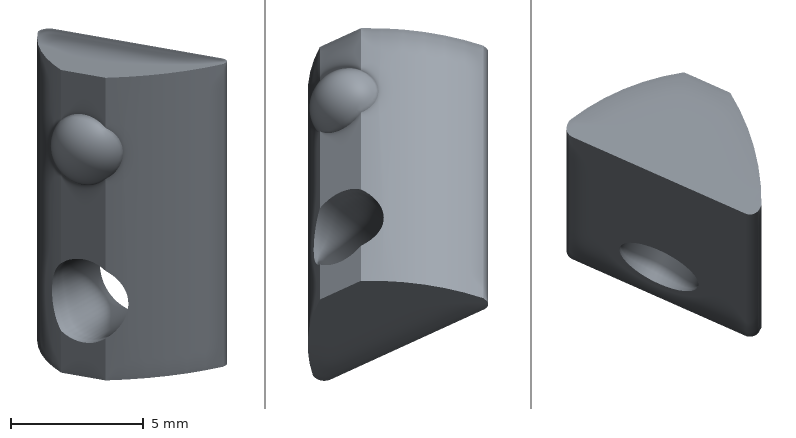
import cadquery as cq

LENGTH = 12.0
WIDTH = 8.02
NUT_DEPTH = 4.2
FRONT_FLAT_WIDTH = 1.93
CORNER_RADIUS = 0.4
SIDE_LAND = 0.17
FLANK_RADIUS = 9.0

END_OFFSET = 3.0
HOLE_DIAMETER = 3.3
BALL_DIAMETER = 3.0
BALL_PROTRUSION = 0.95

BACK_Y = NUT_DEPTH / 2
FRONT_Y = -NUT_DEPTH / 2
HALF_LENGTH = LENGTH / 2


def make_body():
    """Body with a flat back, rounded back corners and bulging flanks."""
    half_width = WIDTH / 2
    half_flat = FRONT_FLAT_WIDTH / 2
    round_end_y = BACK_Y - CORNER_RADIUS
    flank_start_y = round_end_y - SIDE_LAND
    profile = (
        cq.Workplane("XY")
        .workplane(offset=-HALF_LENGTH)
        .moveTo(-half_flat, FRONT_Y)
        .lineTo(half_flat, FRONT_Y)
        .radiusArc((half_width, flank_start_y), -FLANK_RADIUS)
        .lineTo(half_width, round_end_y)
        .radiusArc((half_width - CORNER_RADIUS, BACK_Y), -CORNER_RADIUS)
        .lineTo(-half_width + CORNER_RADIUS, BACK_Y)
        .radiusArc((-half_width, round_end_y), -CORNER_RADIUS)
        .lineTo(-half_width, flank_start_y)
        .radiusArc((-half_flat, FRONT_Y), -FLANK_RADIUS)
        .close()
    )
    return profile.extrude(LENGTH)


def make_hole():
    """Cylinder along Y that passes through the lower end of the body."""
    return (
        cq.Workplane("XZ", origin=(0, BACK_Y, -HALF_LENGTH + END_OFFSET))
        .circle(HOLE_DIAMETER / 2)
        .extrude(NUT_DEPTH)
    )


def make_ball():
    """Spring ball that stands out of the front flat at the upper end."""
    ball_radius = BALL_DIAMETER / 2
    ball_y = FRONT_Y - BALL_PROTRUSION + ball_radius
    ball_z = HALF_LENGTH - END_OFFSET
    return cq.Workplane("XY").sphere(ball_radius).translate((0, ball_y, ball_z))


result = make_body().cut(make_hole()).union(make_ball())